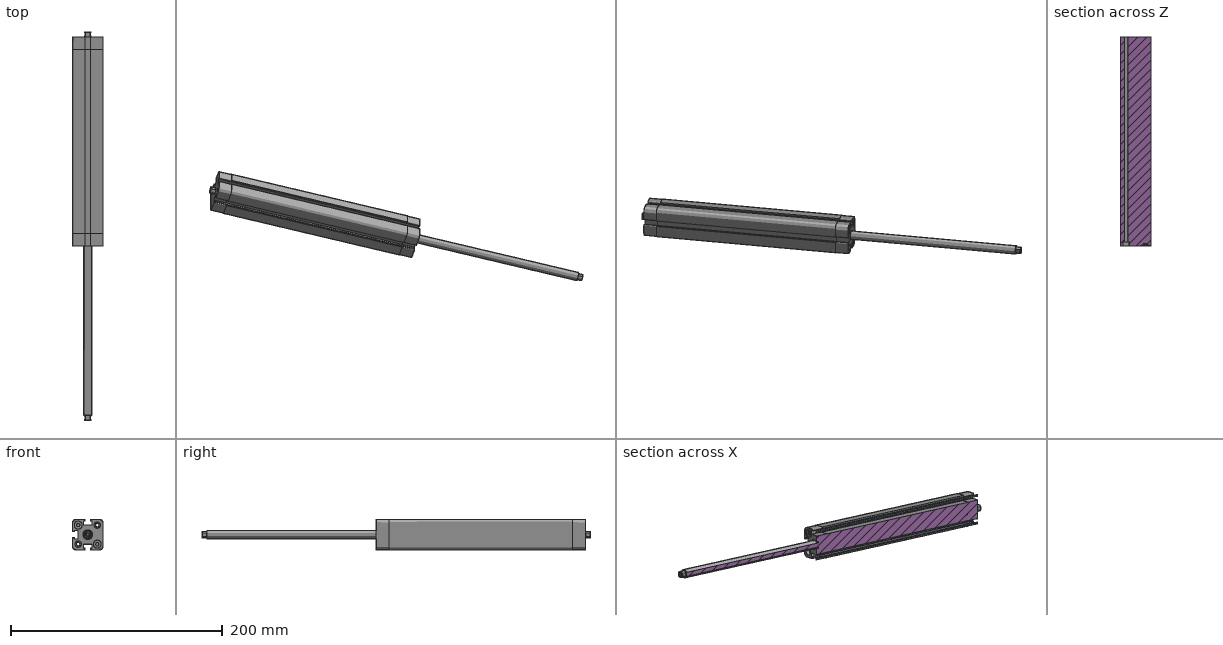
import cadquery as cq

barrel_width = 29.05
cap_width = 29.0
body_length = 198.0
cap_length = 12.2
barrel_corner_radius = 3.5
cap_corner_radius = 4.2

slot_opening = 5.6
slot_inner_width = 7.8
barrel_slot_floor = 9.2
cap_slot_floor = 9.3
lip_thickness = 1.8
cap_lip_radius = 0.6

corner_pitch = 18.0
screw_recess_diameter = 7.5
screw_recess_depth = 1.0
screw_socket_corner_width = 3.5
screw_socket_depth = 1.5
mount_counterbore_diameter = 6.0
mount_counterbore_depth = 4.0
mount_hole_diameter = 3.24

bearing_bore_diameter = 9.0
bearing_bore_depth = 2.0
rod_diameter = 8.0
rod_reach = 160.0
rod_chamfer = 0.25
stud_diameter = 6.0
stud_length = 4.5
stud_flat_width = 5.0
stud_collar_length = 0.5
stud_countersink_diameter = 3.5
stud_hole_diameter = 2.46
stud_hole_depth = 10.0

rod_tip = -rod_reach - stud_length


def along_y(start):
    """Workplane facing +Y at the given Y, with local x along -X and local y along Z."""
    return cq.Workplane("XZ", origin=(0, start, 0)).transformed(rotate=(0, 180, 0))


def cylinder(diameter, start, end, x=0, z=0):
    return along_y(start).center(-x, z).circle(diameter / 2).extrude(end - start)


def top_slot(width, floor, start, length, lip_radius):
    """Cutter for the T-slot in the +Z side."""
    half_width = width / 2
    opening = slot_opening / 2
    inner = slot_inner_width / 2
    lip = half_width - lip_thickness
    profile = along_y(start).moveTo(-opening - lip_radius, half_width)
    if lip_radius:
        profile = profile.radiusArc((-opening, half_width - lip_radius), lip_radius)
    profile = (
        profile.lineTo(-opening, lip)
        .lineTo(-inner, lip)
        .lineTo(-inner, floor)
        .lineTo(inner, floor)
        .lineTo(inner, lip)
        .lineTo(opening, lip)
        .lineTo(opening, half_width - lip_radius)
    )
    if lip_radius:
        profile = profile.radiusArc((opening + lip_radius, half_width), lip_radius)
    return profile.close().extrude(length)


def slotted_block(width, corner_radius, floor, start, length, lip_radius):
    """Rounded square bar with a T-slot in its +Z, -Z and -X sides; slot floors lie `floor` from the axis."""
    solid = along_y(start).rect(width, width).extrude(length).edges("|Y").fillet(corner_radius)
    slot = top_slot(width, floor, start, length, lip_radius)
    for angle in (0, 180, -90):
        solid = solid.cut(slot.rotate((0, 0, 0), (0, 1, 0), angle))
    return solid


def make_body():
    barrel_length = body_length - 2 * cap_length
    body = slotted_block(
        barrel_width, barrel_corner_radius, barrel_slot_floor, cap_length, barrel_length, 0
    )
    for start in (0, body_length - cap_length):
        cap = slotted_block(
            cap_width, cap_corner_radius, cap_slot_floor, start, cap_length, cap_lip_radius
        )
        body = body.union(cap)
    return body


def cut_screw_head(body, x, z):
    body = body.cut(cylinder(screw_recess_diameter, 0, screw_recess_depth, x, z))
    socket = along_y(screw_recess_depth).center(-x, z).polygon(6, screw_socket_corner_width)
    socket = socket.extrude(screw_socket_depth)
    return body.cut(socket)


def cut_mount_hole(body, x, z):
    body = body.cut(cylinder(mount_hole_diameter, 0, body_length, x, z))
    body = body.cut(cylinder(mount_counterbore_diameter, 0, mount_counterbore_depth, x, z))
    return body


def make_stud(base, direction):
    """Stud from the given Y, pointing along +Y or -Y, with two flats facing -X and +X."""
    tip = base + direction * stud_length
    stud = cylinder(stud_diameter, min(base, tip), max(base, tip))
    flat_length = stud_length - 2 * stud_collar_length
    flat_start = min(base, tip) + stud_collar_length
    kept = along_y(flat_start).rect(stud_flat_width, stud_diameter).extrude(flat_length)
    surround = along_y(flat_start).rect(stud_diameter, stud_diameter).extrude(flat_length)
    return stud.cut(surround.cut(kept))


def cut_rod_end_hole(solid):
    solid = solid.cut(cylinder(stud_hole_diameter, rod_tip, rod_tip + stud_hole_depth))
    countersink_depth = (stud_countersink_diameter - stud_hole_diameter) / 2
    countersink = along_y(rod_tip).circle(stud_countersink_diameter / 2)
    countersink = countersink.workplane(offset=countersink_depth).circle(stud_hole_diameter / 2).loft()
    return solid.cut(countersink)


half_pitch = corner_pitch / 2
result = make_body()
for side in (-1, 1):
    result = cut_screw_head(result, side * half_pitch, -side * half_pitch)
    result = cut_mount_hole(result, side * half_pitch, side * half_pitch)

result = result.cut(cylinder(bearing_bore_diameter, 0, bearing_bore_depth))
rod = cylinder(rod_diameter, -rod_reach, bearing_bore_depth).faces("<Y").chamfer(rod_chamfer)
result = result.union(rod)
result = result.union(make_stud(-rod_reach, -1))
result = result.union(make_stud(body_length, 1))
result = cut_rod_end_hole(result)